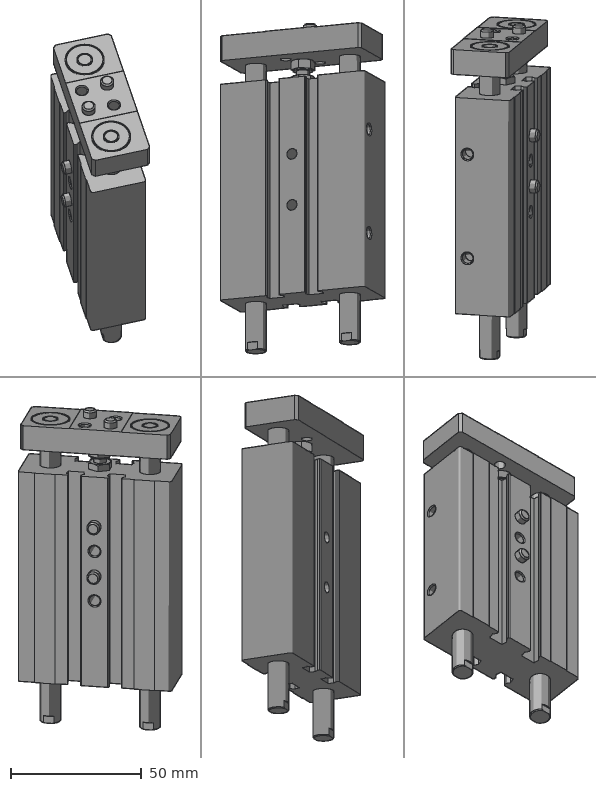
import cadquery as cq
import math


HOUSING_WIDTH = 60.0
HOUSING_DEPTH = 22.1
HOUSING_HEIGHT = 85.0
HOUSING_CORNER_RADIUS = 1.0
FACE_BAND_WIDTH = 8.0
FACE_STEP = 0.3

SLOT_X = 8.0
SLOT_NECK_HALF = 2.5
SLOT_INNER_HALF = 3.5
SLOT_FLOOR_HALF = 3.0
SLOT_LEAD_IN = 0.4
SLOT_LIP = 1.3
SLOT_SHOULDER = 2.8
SLOT_DEPTH = 4.9

HOLE_DIAMETER = 4.1
HOLE_MOUTH = 5.0
MOUNT_PITCH = 10.0
FIRST_MOUNT_DROP = 2 * MOUNT_PITCH
PORT_Y = 6.0
PORT_END_DISTANCE = 22.1
PORT_DEPTH = 5.0
DRILL_TIP_ANGLE = 118

ROD_PITCH = 38.9
ROD_DIAMETER = 8.0
ROD_BELOW_HOUSING = 18.8
ROD_END_CHAMFER = 0.4
ROD_FLAT_HEIGHT = 3.0
ROD_FLATS_ACROSS = 6.9
PLATE_WIDTH = 58.5
PLATE_FRONT_Y = -10.0
PLATE_BACK_Y = 12.9
PLATE_THICKNESS = 9.9
PLATE_GAP = 8.8
PLATE_CORNER_CHAMFER = 1.1
PAD_HALF_WIDTH = 10.2
PAD_STEP = 0.1
CAP_DIAMETER = 15.0
ROD_TIP_DIAMETER = 6.0
RING_CHAMFER = 0.5

PIN_DIAMETER = 5.0
PIN_PROTRUSION = 3.0
PIN_SEAT_DEPTH = 5.0
PIN_CHAMFER = 0.6

SCREW_DIAMETER = 5.0
SCREW_SEAT_DEPTH = 10.0
HEX_ACROSS_FLATS = 8.0
HEAD_HEIGHT = 3.5
WASHER_FACE_DIAMETER = 7.5
WASHER_FACE_HEIGHT = 0.5
NUT_HEIGHT = 2.6

HOUSING_FRONT_Y = -HOUSING_DEPTH / 2
PLATE_BOTTOM_Z = HOUSING_HEIGHT + PLATE_GAP
PLATE_TOP_Z = PLATE_BOTTOM_Z + PLATE_THICKNESS
ROD_X = ROD_PITCH / 2
ROD_XS = (-ROD_X, ROD_X)
PLATE_HOLE_OFFSET = MOUNT_PITCH / 2
PLATE_PIN_POINTS = [(-PLATE_HOLE_OFFSET, PLATE_HOLE_OFFSET), (PLATE_HOLE_OFFSET, -PLATE_HOLE_OFFSET)]
PLATE_HOLE_POINTS = [(-PLATE_HOLE_OFFSET, -PLATE_HOLE_OFFSET), (PLATE_HOLE_OFFSET, PLATE_HOLE_OFFSET)]
FIRST_MOUNT_Z = HOUSING_HEIGHT - FIRST_MOUNT_DROP
HOUSING_PIN_ZS = [FIRST_MOUNT_Z, FIRST_MOUNT_Z - 2 * MOUNT_PITCH]
HOUSING_HOLE_ZS = [z - MOUNT_PITCH for z in HOUSING_PIN_ZS]
PORT_ZS = [PORT_END_DISTANCE, HOUSING_HEIGHT - PORT_END_DISTANCE]

DOWN = cq.Vector(0, 0, -1)
RIGHT = cq.Vector(1, 0, 0)
FRONT = cq.Vector(0, -1, 0)
BACK = cq.Vector(0, 1, 0)


def cylinder(diameter, length, start, direction):
    """A cylinder from the centre of its first end."""
    return cq.Workplane(cq.Solid.makeCylinder(diameter / 2, length, cq.Vector(*start), direction))


def cone(start_diameter, end_diameter, length, start, direction):
    """A cone or frustum from the centre of its first end."""
    radii = (start_diameter / 2, end_diameter / 2)
    return cq.Workplane(cq.Solid.makeCone(*radii, length, cq.Vector(*start), direction))


def mouth_chamfer(start, direction):
    """The 45 degree countersink at the mouth of a mounting hole or port."""
    return cone(HOLE_MOUTH, HOLE_DIAMETER, (HOLE_MOUTH - HOLE_DIAMETER) / 2, start, direction)


def slot_cutter(x, face_y, inward):
    """A T-slot over the whole housing height; inward is +1 or -1 along Y."""
    half_profile = [
        (SLOT_NECK_HALF + SLOT_LEAD_IN, 0),
        (SLOT_NECK_HALF, SLOT_LEAD_IN),
        (SLOT_NECK_HALF, SLOT_LIP),
        (SLOT_INNER_HALF, SLOT_SHOULDER),
        (SLOT_FLOOR_HALF, SLOT_DEPTH),
    ]
    right_side = [(x + half, face_y + inward * depth) for half, depth in half_profile]
    left_side = [(x - half, face_y + inward * depth) for half, depth in reversed(half_profile)]
    return cq.Workplane("XY").polyline(right_side + left_side).close().extrude(HOUSING_HEIGHT)


def face_step_cutters(side):
    """The two strips, one on each side of a guide rod's band, that lie just behind the front face."""
    band_inner_x = ROD_X - FACE_BAND_WIDTH / 2
    band_outer_x = ROD_X + FACE_BAND_WIDTH / 2
    strips = []
    for start_x, end_x in ((SLOT_X, band_inner_x), (band_outer_x, HOUSING_WIDTH / 2)):
        middle = cq.Workplane("XY", origin=(side * (start_x + end_x) / 2, HOUSING_FRONT_Y, 0))
        strips.append(middle.rect(end_x - start_x, 2 * FACE_STEP).extrude(HOUSING_HEIGHT))
    return strips


def port_cutter(z):
    """A drilled air port in the left side, with a conical bottom."""
    mouth = (-HOUSING_WIDTH / 2, PORT_Y, z)
    bottom = (-HOUSING_WIDTH / 2 + PORT_DEPTH, PORT_Y, z)
    tip_length = HOLE_DIAMETER / 2 / math.tan(math.radians(DRILL_TIP_ANGLE / 2))
    drill = cylinder(HOLE_DIAMETER, PORT_DEPTH, mouth, RIGHT)
    drill = drill.union(cone(HOLE_DIAMETER, 0, tip_length, bottom, RIGHT))
    return drill.union(mouth_chamfer(mouth, RIGHT))


def make_housing():
    body = cq.Workplane("XY").rect(HOUSING_WIDTH, HOUSING_DEPTH).extrude(HOUSING_HEIGHT)
    for side in (-1, 1):
        for strip in face_step_cutters(side):
            body = body.cut(strip)
    body = body.edges("|Z and (<X or >X)").fillet(HOUSING_CORNER_RADIUS)
    for x in (-SLOT_X, SLOT_X):
        body = body.cut(slot_cutter(x, HOUSING_FRONT_Y, 1))
        body = body.cut(slot_cutter(x, -HOUSING_FRONT_Y, -1))
    for x in ROD_XS:
        body = body.cut(cylinder(ROD_DIAMETER, HOUSING_HEIGHT, (x, 0, 0), -DOWN))
    for z in HOUSING_HOLE_ZS:
        body = body.cut(cylinder(HOLE_DIAMETER, HOUSING_DEPTH, (0, HOUSING_FRONT_Y, z), BACK))
        body = body.cut(mouth_chamfer((0, HOUSING_FRONT_Y, z), BACK))
    for z in HOUSING_PIN_ZS:
        body = body.cut(cylinder(PIN_DIAMETER, PIN_SEAT_DEPTH, (0, HOUSING_FRONT_Y, z), BACK))
    for z in PORT_ZS:
        body = body.cut(port_cutter(z))
    return body.cut(cylinder(SCREW_DIAMETER, SCREW_SEAT_DEPTH, (0, 0, HOUSING_HEIGHT), DOWN))


def make_guide_rod(x):
    """A rod from its chamfered, flatted lower end up to the end plate."""
    length = ROD_BELOW_HOUSING + PLATE_BOTTOM_Z
    rod = cylinder(ROD_DIAMETER, length, (x, 0, -ROD_BELOW_HOUSING), -DOWN)
    rod = rod.faces("<Z").edges().chamfer(ROD_END_CHAMFER)
    lower_end = cq.Workplane("XY", origin=(x, 0, -ROD_BELOW_HOUSING))
    flats = (
        lower_end.rect(ROD_DIAMETER, ROD_DIAMETER)
        .rect(ROD_DIAMETER, ROD_FLATS_ACROSS)
        .extrude(ROD_FLAT_HEIGHT)
    )
    return rod.cut(flats)


def ring_groove_cutter(diameter, centre):
    """A V-groove in a top face, with an upright outer wall and a 45 degree inner wall."""
    top_diameter = diameter - 2 * RING_CHAMFER
    bottom = (centre[0], centre[1], centre[2] - RING_CHAMFER)
    core = cone(diameter, top_diameter, RING_CHAMFER, bottom, -DOWN)
    return cylinder(diameter, RING_CHAMFER, centre, DOWN).cut(core)


def make_end_plate():
    depth = PLATE_BACK_Y - PLATE_FRONT_Y
    middle_y = (PLATE_BACK_Y + PLATE_FRONT_Y) / 2
    plate = (
        cq.Workplane("XY", origin=(0, middle_y, PLATE_BOTTOM_Z))
        .rect(PLATE_WIDTH, depth)
        .extrude(PLATE_THICKNESS - PAD_STEP)
        .edges("|Z")
        .chamfer(PLATE_CORNER_CHAMFER)
    )
    pad = (
        cq.Workplane("XY", origin=(0, middle_y, PLATE_BOTTOM_Z))
        .rect(2 * PAD_HALF_WIDTH, depth)
        .extrude(PLATE_THICKNESS)
    )
    plate = plate.union(pad)

    for x in ROD_XS:
        for diameter in (CAP_DIAMETER, ROD_TIP_DIAMETER):
            plate = plate.cut(ring_groove_cutter(diameter, (x, 0, PLATE_TOP_Z - PAD_STEP)))

    for x, y in PLATE_HOLE_POINTS:
        plate = plate.cut(cylinder(HOLE_DIAMETER, PLATE_THICKNESS, (x, y, PLATE_TOP_Z), DOWN))
        plate = plate.cut(mouth_chamfer((x, y, PLATE_TOP_Z), DOWN))
    for x, y in PLATE_PIN_POINTS:
        plate = plate.cut(cylinder(PIN_DIAMETER, PIN_SEAT_DEPTH, (x, y, PLATE_TOP_Z), DOWN))
    return plate


def make_carriage():
    carriage = make_end_plate()
    for x in ROD_XS:
        carriage = carriage.union(make_guide_rod(x))
    return carriage


def make_dowel_pin(surface_point, outward):
    """A pin seated below surface_point, with a chamfered outer end."""
    start = cq.Vector(*surface_point) - outward * PIN_SEAT_DEPTH
    straight = PIN_SEAT_DEPTH + PIN_PROTRUSION - PIN_CHAMFER
    shank = cylinder(PIN_DIAMETER, straight, start.toTuple(), outward)
    tip_start = (start + outward * straight).toTuple()
    tip = cone(PIN_DIAMETER, PIN_DIAMETER - 2 * PIN_CHAMFER, PIN_CHAMFER, tip_start, outward)
    return shank.union(tip)


def hexagon(bottom_z, height):
    """A hexagonal prism with corners on the Y axis and its upper end chamfered at 30 degrees."""
    corner_diameter = HEX_ACROSS_FLATS / math.cos(math.pi / 6)
    prism = (
        cq.Workplane("XY", origin=(0, 0, bottom_z))
        .transformed(rotate=(0, 0, 90))
        .polygon(6, corner_diameter)
        .extrude(height)
    )
    chamfer_width = (corner_diameter - HEX_ACROSS_FLATS) / 2
    chamfer_height = chamfer_width * math.tan(math.pi / 6)
    envelope = (
        cq.Workplane("XY", origin=(0, 0, bottom_z))
        .circle(corner_diameter / 2)
        .extrude(height)
        .faces(">Z")
        .edges()
        .chamfer(chamfer_height, chamfer_width)
    )
    return prism.intersect(envelope)


def make_stop_screw():
    """A hexagon-head screw whose head meets the end plate."""
    head_bottom_z = PLATE_BOTTOM_Z - HEAD_HEIGHT
    face_bottom = (0, 0, head_bottom_z - WASHER_FACE_HEIGHT)
    washer_face = cylinder(WASHER_FACE_DIAMETER, WASHER_FACE_HEIGHT, face_bottom, -DOWN)
    shank_bottom_z = HOUSING_HEIGHT - SCREW_SEAT_DEPTH
    shank = cylinder(SCREW_DIAMETER, head_bottom_z - shank_bottom_z, (0, 0, shank_bottom_z), -DOWN)
    return hexagon(head_bottom_z, HEAD_HEIGHT).union(washer_face).union(shank)


def make_lock_nut():
    bore = cylinder(SCREW_DIAMETER, NUT_HEIGHT, (0, 0, HOUSING_HEIGHT), -DOWN)
    return hexagon(HOUSING_HEIGHT, NUT_HEIGHT).cut(bore)


housing = make_housing()
carriage = make_carriage()
stop_screw = make_stop_screw()
lock_nut = make_lock_nut()
plate_pins = [make_dowel_pin((x, y, PLATE_TOP_Z), -DOWN).val() for x, y in PLATE_PIN_POINTS]
housing_pins = [make_dowel_pin((0, HOUSING_FRONT_Y, z), FRONT).val() for z in HOUSING_PIN_ZS]

result = cq.Compound.makeCompound(
    [housing.val(), carriage.val(), stop_screw.val(), lock_nut.val(), *plate_pins, *housing_pins]
)